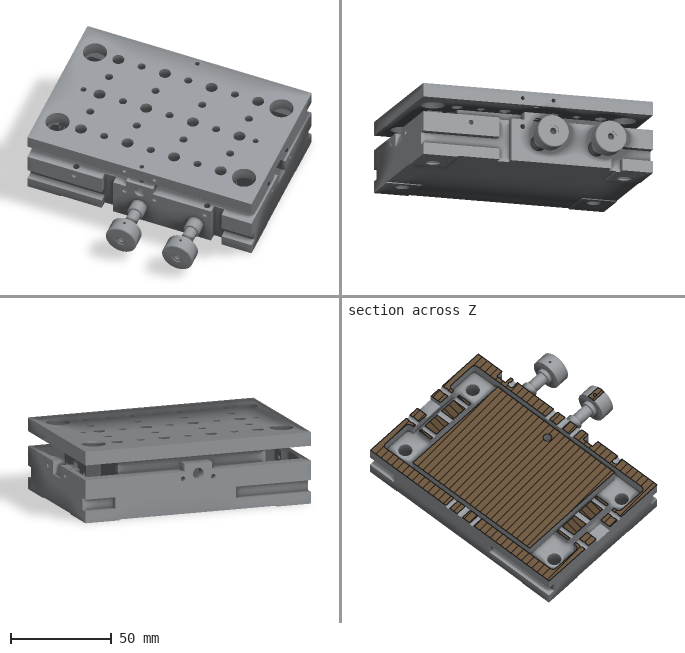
import cadquery as cq

LENGTH = 120.0
WIDTH = 80.0
HEIGHT = 36.5

PLATE_THICKNESS = 7.0
PLATE_BOTTOM = HEIGHT - PLATE_THICKNESS
HOLE_PITCH = 12.5
BORE_DIAMETER = 6.0
TAPPED_DIAMETER = 4.1
ACCESS_DIAMETER = 12.0
PLATE_EDGE_HOLE_DIAMETER = 2.0
PLATE_EDGE_HOLE_Z = 32.9
PLATE_EDGE_HOLE_DEPTH = 4.8

POST_INNER_X = 42.1
POST_OUTER_X = 50.0
POST_CENTER_X = (POST_INNER_X + POST_OUTER_X) / 2
POST_WIDTH = 29.8
POST_BOTTOM = 15.5
POST_PIVOT_DIAMETER = 5.5
POST_PIN_DIAMETER = 3.0

BASE_HEIGHT = 22.0
FOOT_HEIGHT = 0.5
FOOT_LENGTH = 18.0
FOOT_WIDTH = 21.1
MOUNT_DIAMETER = 7.1
MOUNT_X = 4 * HOLE_PITCH
MOUNT_Y = 2 * HOLE_PITCH

POCKET_FLOOR = 12.0
END_WALL = 6.4
SIDE_WALL = 6.2
EAR_WALL = 3.0
EAR_INNER_Y = 15.0
POCKET_CORNER_RADIUS = 2.0
NOTCH_WIDTH = 10.0
NOTCH_FLOOR = 15.1

GROOVE_BOTTOM = 6.0
GROOVE_TOP = 12.0
GROOVE_DEPTH = 4.0
LEFT_CHANNEL = (-20.2, -14.0)
RIGHT_CHANNEL = (38.3, 43.9)

TAB_WIDTH = 14.4
TAB_TOP = 25.8
TAB_PIVOT_DIAMETER = 5.6
TAB_PIN_DIAMETER = 2.4
PIVOT_Z = 20.5

SET_SCREW_DIAMETER = 2.5
SET_SCREW_Z = 18.2
SET_SCREW_END_Y = 12.0
SET_SCREW_PANEL_X = 35.0
SET_SCREW_TAB_X = 8.0
CROSS_HOLE_DIAMETER = 3.2
CROSS_HOLE_INSET = 3.0

BLOCK_LENGTH = 78.5
BLOCK_WIDTH = 61.9
BLOCK_TOP = 26.6
BLOCK_LEDGE_Z = 18.4
BLOCK_LEDGE = 0.6

KNOB_AXES = [(0.0, 10.5), (30.1, 10.1)]
COLLAR_DIAMETER = 8.3
COLLAR_END = 6.0
COLLAR_CHAMFER = 0.4
SHAFT_DIAMETER = 6.1
FLANGE_START = 15.0
HEAD_START = 17.2
HEAD_END = 25.0
HEAD_DIAMETER = 16.2
HEAD_CHAMFER = 0.4
HEAD_PIN_DIAMETER = 1.5
HEAD_PIN_DEPTH = 3.6
HEAD_PIN_Y = 20.2
RECESS_DIAMETER = 5.5
RECESS_DEPTH = 0.5
SOCKET_DIAMETER = 3.4
SOCKET_DEPTH = 3.6
SOCKET_TIP_DEPTH = 1.0

SIDES = (-1, 1)
FRONT_Y = -WIDTH / 2
TAB_INNER_Y = WIDTH / 2 - SIDE_WALL
TAB_PIN_Y = WIDTH / 2 - CROSS_HOLE_INSET


def box_between(x, y, z):
    """Box spanning the given (low, high) pair on each axis."""
    size = [high - low for low, high in (x, y, z)]
    return cq.Workplane("XY").box(*size, centered=False).translate((x[0], y[0], z[0]))


def rod(diameter, start, axis, length):
    """Cylinder from a start point along an axis direction."""
    return cq.Workplane(cq.Solid.makeCylinder(diameter / 2, length, cq.Vector(*start), cq.Vector(*axis)))


def mirrored_span(inner, outer, side):
    """(low, high) pair for a feature repeated at plus and minus."""
    return tuple(sorted((side * inner, side * outer)))


def plate_hole_positions():
    """Centres of the large bores and of the tapped holes between them."""
    bores = []
    tapped = []
    for row in range(-2, 3):
        for column in range(-3, 4):
            point = (column * HOLE_PITCH, row * HOLE_PITCH)
            if row % 2 == 0 and column % 2 != 0:
                bores.append(point)
            elif (row + column) % 2 == 0:
                tapped.append(point)
    return bores, tapped


def make_stage():
    """Top plate with its hole grid and the two pivot posts."""
    stage = box_between((-LENGTH / 2, LENGTH / 2), (-WIDTH / 2, WIDTH / 2), (PLATE_BOTTOM, HEIGHT))
    bores, tapped = plate_hole_positions()
    mounts = [(i * MOUNT_X, j * MOUNT_Y) for i in SIDES for j in SIDES]
    tab_pins = [(0, side * TAB_PIN_Y) for side in SIDES]
    for points, diameter in (
        (bores, BORE_DIAMETER),
        (tapped, TAPPED_DIAMETER),
        (mounts, ACCESS_DIAMETER),
        (tab_pins, TAB_PIN_DIAMETER),
    ):
        stage = stage.cut(
            cq.Workplane("XY", origin=(0, 0, PLATE_BOTTOM))
            .pushPoints(points)
            .circle(diameter / 2)
            .extrude(PLATE_THICKNESS)
        )
    for side in SIDES:
        edge_hole_start = (side * SET_SCREW_TAB_X, FRONT_Y, PLATE_EDGE_HOLE_Z)
        stage = stage.cut(rod(PLATE_EDGE_HOLE_DIAMETER, edge_hole_start, (0, 1, 0), PLATE_EDGE_HOLE_DEPTH))
    for side in SIDES:
        stage = add_post(stage, side)
    return stage


def add_post(stage, side):
    """Post with a pivot bore along X, a pin hole down into it and two set screw holes."""
    post_x = mirrored_span(POST_INNER_X, POST_OUTER_X, side)
    thickness = POST_OUTER_X - POST_INNER_X
    stage = stage.union(
        box_between(post_x, (-POST_WIDTH / 2, POST_WIDTH / 2), (POST_BOTTOM, PLATE_BOTTOM))
    )
    stage = stage.cut(rod(POST_PIVOT_DIAMETER, (post_x[0], 0, PIVOT_Z), (1, 0, 0), thickness))
    pin_start = (side * POST_CENTER_X, 0, PIVOT_Z)
    stage = stage.cut(rod(POST_PIN_DIAMETER, pin_start, (0, 0, 1), HEIGHT - PIVOT_Z))
    for end in SIDES:
        screw_start = (post_x[0], end * SET_SCREW_END_Y, SET_SCREW_Z)
        stage = stage.cut(rod(SET_SCREW_DIAMETER, screw_start, (1, 0, 0), thickness))
    return stage


def pocket():
    """Pocket volume: a central well with a rounded ear over each mounting hole."""
    height = (POCKET_FLOOR, TAB_TOP)
    well_x = LENGTH / 2 - END_WALL
    ear_x = LENGTH / 2 - EAR_WALL
    volume = box_between((-well_x, well_x), (-TAB_INNER_Y, TAB_INNER_Y), height)
    for side in SIDES:
        ears = box_between((-ear_x, ear_x), mirrored_span(EAR_INNER_Y, TAB_INNER_Y, side), height)
        volume = volume.union(ears.edges("|Z").fillet(POCKET_CORNER_RADIUS))
    return volume


def make_base_shell():
    """Housing with feet, pocket, notches, side grooves, tabs and wall holes."""
    half_x = LENGTH / 2
    half_y = WIDTH / 2
    base = box_between((-half_x, half_x), (-half_y, half_y), (0, BASE_HEIGHT))
    for side in SIDES:
        tab = box_between(
            (-TAB_WIDTH / 2, TAB_WIDTH / 2),
            mirrored_span(TAB_INNER_Y, half_y, side),
            (BASE_HEIGHT, TAB_TOP),
        )
        base = base.union(tab)
    base = base.cut(pocket())

    channel_x = half_x - FOOT_LENGTH
    channel_y = half_y - FOOT_WIDTH
    base = base.cut(box_between((-channel_x, channel_x), (-half_y, half_y), (0, FOOT_HEIGHT)))
    base = base.cut(box_between((-half_x, half_x), (-channel_y, channel_y), (0, FOOT_HEIGHT)))

    base = base.cut(
        box_between((-half_x, half_x), (-NOTCH_WIDTH / 2, NOTCH_WIDTH / 2), (NOTCH_FLOOR, TAB_TOP))
    )

    groove_z = (GROOVE_BOTTOM, GROOVE_TOP)
    front = (-half_y, -half_y + GROOVE_DEPTH)
    back = (half_y - GROOVE_DEPTH, half_y)
    for long_side in (front, back):
        base = base.cut(box_between((-half_x, LEFT_CHANNEL[0]), long_side, groove_z))
        base = base.cut(box_between((RIGHT_CHANNEL[1], half_x), long_side, groove_z))
    for channel in (LEFT_CHANNEL, RIGHT_CHANNEL):
        base = base.cut(box_between(channel, front, (0, BASE_HEIGHT)))

    for i in SIDES:
        for j in SIDES:
            base = base.cut(rod(MOUNT_DIAMETER, (i * MOUNT_X, j * MOUNT_Y, 0), (0, 0, 1), POCKET_FLOOR))
    return cut_wall_holes(base)


def cut_wall_holes(base):
    """Pivot bores in the tabs and the set screw holes in the walls."""
    half_x = LENGTH / 2
    half_y = WIDTH / 2
    for side in SIDES:
        inward_y = (0, -side, 0)
        inward_x = (-side, 0, 0)
        base = base.cut(rod(TAB_PIVOT_DIAMETER, (0, side * half_y, PIVOT_Z), inward_y, SIDE_WALL))
        pin_start = (0, side * TAB_PIN_Y, PIVOT_Z)
        base = base.cut(rod(TAB_PIN_DIAMETER, pin_start, (0, 0, 1), TAB_TOP - PIVOT_Z))
        for end in SIDES:
            tab_screw = (end * SET_SCREW_TAB_X, side * half_y, SET_SCREW_Z)
            base = base.cut(rod(SET_SCREW_DIAMETER, tab_screw, inward_y, SIDE_WALL))
            end_screw = (side * half_x, end * SET_SCREW_END_Y, SET_SCREW_Z)
            base = base.cut(rod(SET_SCREW_DIAMETER, end_screw, inward_x, END_WALL))
            end_cross = (side * (half_x - CROSS_HOLE_INSET), end * SET_SCREW_END_Y, SET_SCREW_Z)
            base = base.cut(rod(CROSS_HOLE_DIAMETER, end_cross, (0, 0, 1), BASE_HEIGHT - SET_SCREW_Z))
        panel_screw = (side * SET_SCREW_PANEL_X, FRONT_Y, SET_SCREW_Z)
        base = base.cut(rod(SET_SCREW_DIAMETER, panel_screw, (0, 1, 0), CROSS_HOLE_INSET))
        panel_cross = (side * SET_SCREW_PANEL_X, FRONT_Y + CROSS_HOLE_INSET, SET_SCREW_Z)
        base = base.cut(rod(CROSS_HOLE_DIAMETER, panel_cross, (0, 0, 1), BASE_HEIGHT - SET_SCREW_Z))
    return base


def make_block():
    """Block standing on the pocket floor, with one hole down to the knob shaft."""
    block_x = (-BLOCK_LENGTH / 2, BLOCK_LENGTH / 2)
    half_y = BLOCK_WIDTH / 2
    ledge_y = half_y + BLOCK_LEDGE
    block = box_between(block_x, (-half_y, half_y), (POCKET_FLOOR, BLOCK_TOP))
    return block.union(box_between(block_x, (-ledge_y, ledge_y), (POCKET_FLOOR, BLOCK_LEDGE_Z)))


def shaft_access_hole():
    """Vertical hole whose bottom is the crown of the middle knob's shaft."""
    shaft_x, shaft_z = KNOB_AXES[0]
    hole = rod(TAPPED_DIAMETER, (shaft_x, -2 * HOLE_PITCH, shaft_z), (0, 0, 1), BLOCK_TOP - shaft_z)
    return hole.cut(rod(SHAFT_DIAMETER, (shaft_x, FRONT_Y, shaft_z), (0, 1, 0), WIDTH / 2))


def make_knob(axis_x, axis_z):
    """Knob turned about Y: collar, shaft, flange and head with a drilled socket and a radial pin hole."""

    def turned(diameter, start, end):
        return rod(diameter, (axis_x, FRONT_Y - start, axis_z), (0, -1, 0), end - start)

    knob = turned(COLLAR_DIAMETER, 0, COLLAR_END).faces("<Y").chamfer(COLLAR_CHAMFER)
    knob = knob.union(turned(SHAFT_DIAMETER, COLLAR_END, FLANGE_START))
    knob = knob.union(turned(COLLAR_DIAMETER, FLANGE_START, HEAD_START))
    knob = knob.union(turned(HEAD_DIAMETER, HEAD_START, HEAD_END).faces("<Y").chamfer(HEAD_CHAMFER))
    knob = knob.cut(turned(RECESS_DIAMETER, HEAD_END - RECESS_DEPTH, HEAD_END))
    knob = knob.cut(turned(SOCKET_DIAMETER, HEAD_END - SOCKET_DEPTH, HEAD_END))
    socket_bottom = cq.Vector(axis_x, FRONT_Y - HEAD_END + SOCKET_DEPTH, axis_z)
    knob = knob.cut(
        cq.Workplane(
            cq.Solid.makeCone(SOCKET_DIAMETER / 2, 0, SOCKET_TIP_DEPTH, socket_bottom, cq.Vector(0, 1, 0))
        )
    )
    pin_top = (axis_x, FRONT_Y - HEAD_PIN_Y, axis_z + HEAD_DIAMETER / 2)
    return knob.cut(rod(HEAD_PIN_DIAMETER, pin_top, (0, 0, -1), HEAD_PIN_DEPTH))


def make_base():
    """Housing, central block and knobs as one solid."""
    base = make_base_shell().union(make_block())
    base = base.cut(shaft_access_hole())
    for axis_x, axis_z in KNOB_AXES:
        base = base.union(make_knob(axis_x, axis_z))
    return base


base = make_base()
stage = make_stage()
result = cq.Compound.makeCompound([base.val(), stage.val()])